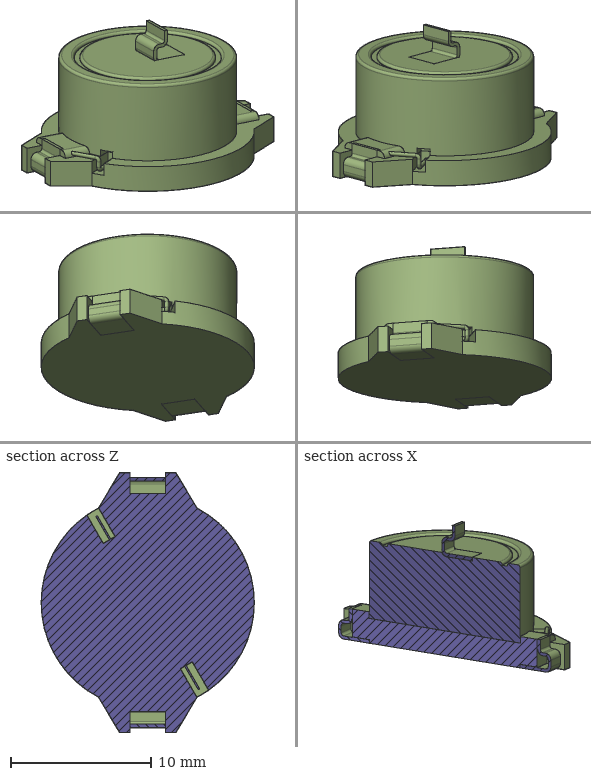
import cadquery as cq
import math

base_radius = 7.6
base_height = 1.87
ear_reach = 9.27
ear_tip_half_width = 2.0
ear_root_half_width = 3.52

pad_height = 0.48
pad_top = base_height + pad_height

strip_thickness = 0.26
strip_width = 2.52
bend_inner_radius = 0.2
bend_outer_radius = bend_inner_radius + strip_thickness
jog_flat = 0.22
jog_underside = 1.17
foot_length = 2.58
terminal_depth = 2 * (strip_thickness + bend_inner_radius) + jog_flat
terminal_height = pad_top

terminal_outer_y = 8.94
tab_back_y = terminal_outer_y - terminal_depth
tab_front_y = tab_back_y + strip_thickness
foot_end_y = terminal_outer_y - foot_length

core_radius = 12.7 / 2
core_top = 7.62
core_height = core_top - base_height
groove_outer_radius = 10.5 / 2
groove_inner_radius = 9.7 / 2
groove_depth = 0.22
core_edge_radius = 0.2

spare_terminal_outer_y = -0.26
spare_terminal_bottom = core_top - strip_thickness

channel_angle = 120.0
channel_width = 0.96
channel_offset = 0.15
channel_floor = 0.98
channel_inner_radius = groove_outer_radius
channel_length = ear_reach - channel_inner_radius

wire_diameter = 0.3
wire_low_z = 1.2
wire_top_z = 2.1
wire_bend_radius = 0.22
wire_rise_radius = 7.3
wire_rise_offset = 0.07
wire_pad_length = 2.48
wire_embedment = 0.1

half_turns = (0, 180)


def about_z(shape, angle):
    return shape.rotate((0, 0, 0), (0, 0, 1), angle)


def block(width, y_start, y_end, height):
    """Box centred in X that stands on Z = 0 and spans y_start to y_end."""
    box = cq.Workplane("XY").box(width, y_end - y_start, height, centered=(True, False, False))
    return box.translate((0, y_start, 0))


def make_terminal(outer_y, bottom_z):
    """Strip with the outer face of its leg at outer_y and its foot running toward +Y."""
    jog_top = jog_underside + strip_thickness
    tab_front = terminal_depth - strip_thickness
    inner = bend_inner_radius
    outer = bend_outer_radius
    strip = (
        cq.Workplane("YZ")
        .moveTo(foot_length, 0)
        .lineTo(outer, 0)
        .tangentArcPoint((-outer, outer))
        .lineTo(0, jog_top - outer)
        .tangentArcPoint((outer, outer))
        .lineTo(tab_front - inner, jog_top)
        .tangentArcPoint((inner, inner))
        .lineTo(tab_front, terminal_height)
        .lineTo(terminal_depth, terminal_height)
        .lineTo(terminal_depth, jog_underside + outer)
        .tangentArcPoint((-outer, -outer))
        .lineTo(outer, jog_underside)
        .tangentArcPoint((-inner, -inner))
        .lineTo(strip_thickness, outer)
        .tangentArcPoint((inner, -inner))
        .lineTo(foot_length, strip_thickness)
        .close()
        .extrude(strip_width / 2, both=True)
    )
    return strip.translate((0, outer_y, bottom_z))


def wire_channel():
    channel = cq.Workplane("XY").box(
        channel_length, channel_width, pad_top - channel_floor, centered=(False, True, False)
    )
    channel = channel.translate((channel_inner_radius, channel_offset, channel_floor))
    return about_z(channel, channel_angle)


def wire_lead():
    """Round wire with two bends, built along +X and then turned to the channel angle."""
    x = wire_rise_radius
    y = wire_rise_offset
    bend = wire_bend_radius
    start_x = channel_inner_radius - wire_embedment
    start = cq.Vector(start_x, y, wire_low_z)
    low_bend_start = cq.Vector(x - bend, y, wire_low_z)
    low_bend_end = cq.Vector(x, y, wire_low_z + bend)
    top_bend_start = cq.Vector(x, y, wire_top_z - bend)
    top_bend_end = cq.Vector(x, y - bend, wire_top_z)
    end = cq.Vector(x, y - wire_pad_length, wire_top_z)
    outward = cq.Vector(1, 0, 0)
    upward = cq.Vector(0, 0, 1)
    path = cq.Wire.assembleEdges(
        [
            cq.Edge.makeLine(start, low_bend_start),
            cq.Edge.makeTangentArc(low_bend_start, outward, low_bend_end),
            cq.Edge.makeLine(low_bend_end, top_bend_start),
            cq.Edge.makeTangentArc(top_bend_start, upward, top_bend_end),
            cq.Edge.makeLine(top_bend_end, end),
        ]
    )
    lead = (
        cq.Workplane("YZ", origin=(start_x, y, wire_low_z))
        .circle(wire_diameter / 2)
        .sweep(cq.Workplane("XY").add(path))
    )
    return about_z(lead, channel_angle)


def ear_plate():
    """Both tapered ears in one plate across the disc, their roots on the disc rim."""
    root_y = math.sqrt(base_radius**2 - ear_root_half_width**2)
    return (
        cq.Workplane("XY")
        .polyline(
            [
                (ear_root_half_width, -root_y),
                (ear_root_half_width, root_y),
                (ear_tip_half_width, ear_reach),
                (-ear_tip_half_width, ear_reach),
                (-ear_root_half_width, root_y),
                (-ear_root_half_width, -root_y),
                (-ear_tip_half_width, -ear_reach),
                (ear_tip_half_width, -ear_reach),
            ]
        )
        .close()
        .extrude(base_height)
    )


def ear_pads():
    """Both round-shouldered pads, cut back to the core wall."""
    pads = (
        block(2 * ear_tip_half_width, -tab_front_y, tab_front_y, pad_top)
        .edges("|Y and >Z")
        .fillet(pad_height)
    )
    core_space = cq.Workplane("XY").circle(core_radius).extrude(pad_top)
    return pads.cut(core_space)


def make_base():
    """Base plate with its pads, terminal notches, wire channels and the two wire leads."""
    disc = cq.Workplane("XY").circle(base_radius).extrude(base_height)
    base = disc.union(ear_plate()).union(ear_pads())
    notch = block(strip_width, tab_back_y, ear_reach, pad_top)
    foot_recess = block(strip_width, foot_end_y, tab_back_y, strip_thickness)
    for angle in half_turns:
        for cutter in (notch, foot_recess, wire_channel()):
            base = base.cut(about_z(cutter, angle))
        base = base.union(about_z(wire_lead(), angle))
    return base


def make_core(sunk_terminal):
    """Core with rounded top edges, wire openings and a recess for the sunk terminal's foot."""
    core = cq.Workplane("XY", origin=(0, 0, base_height)).circle(core_radius).extrude(core_height)
    groove = (
        cq.Workplane("XY", origin=(0, 0, core_top - groove_depth))
        .circle(groove_outer_radius)
        .circle(groove_inner_radius)
        .extrude(groove_depth)
    )
    core = core.cut(groove).faces(">Z").edges().fillet(core_edge_radius)
    for angle in half_turns:
        core = core.cut(about_z(wire_channel(), angle))
    return core.cut(sunk_terminal)


base = make_base()
base_terminals = [about_z(make_terminal(-terminal_outer_y, 0), angle) for angle in half_turns]
spare_terminal = make_terminal(spare_terminal_outer_y, spare_terminal_bottom)
core = make_core(spare_terminal)

result = cq.Compound.makeCompound(
    [
        base.val(),
        core.val(),
        spare_terminal.val(),
        *[terminal.val() for terminal in base_terminals],
    ]
)